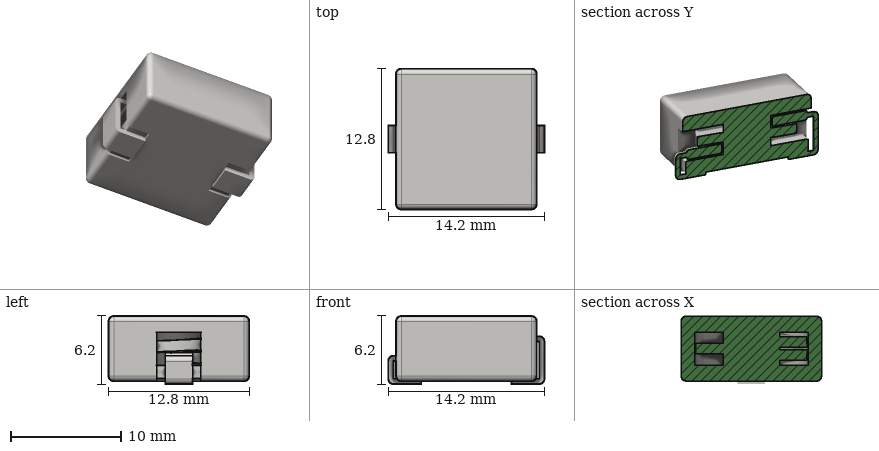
import cadquery as cq
import math

body_side = 12.8
body_bottom = 0.26
total_height = 6.2
body_edge_radius = 0.5
body_mid_z = (body_bottom + total_height) / 2
half_side = body_side / 2

chamber_radius = 5.13
chamber_height = 2.97
core_diameter = 5.2
chamber_floor = body_mid_z - chamber_height / 2

turns = 1.5
pitch = 1.17
wire_height = 1.0
winding_outer_radius = 5.08
core_overlap = 0.1
winding_inner_radius = core_diameter / 2 - core_overlap
winding_rise = turns * pitch
winding_start_z = body_mid_z - winding_rise / 2
winding_end_z = body_mid_z + winding_rise / 2

terminal_width = 2.5
wire_end_x = 6.0
terminal_span = 14.2
terminal_thickness = 0.5
wire_end_radius = (wire_height - terminal_thickness) / 2
terminal_bend_radius = 0.5
foot_length = 3.02
terminal_outer_x = terminal_span / 2
foot_end_x = terminal_outer_x - foot_length

window_width = 4.0
sill_recess = 0.3
sill_edge_radius = 0.13
half_window = window_width / 2
sill_face_x = half_side - sill_recess
foot_groove_top = terminal_thickness


def box(x_range, width, z_range):
    """Box centred on the XZ plane."""
    x_min, x_max = x_range
    z_min, z_max = z_range
    corner = (x_min, -width / 2, z_min)
    return cq.Workplane("XY").box(x_max - x_min, width, z_max - z_min, centered=False).translate(corner)


def opposite(shape):
    """Turn a +X feature to the -X side."""
    return shape.rotate((0, 0, 0), (0, 0, 1), 180)


def rounded_block():
    block = box((-half_side, half_side), body_side, (body_bottom, total_height))
    return block.edges().fillet(body_edge_radius)


def chamber_sketch_plane():
    return cq.Workplane("XY", origin=(0, 0, chamber_floor))


def chamber():
    """Round chamber with a mouth on -X and on +X whose side walls run tangent to the round wall."""
    corner_distance = math.hypot(half_side, half_window)
    corner_angle = math.atan2(half_window, half_side)
    tangent_angle = corner_angle + math.acos(chamber_radius / corner_distance)
    tangent_x = chamber_radius * math.cos(tangent_angle)
    tangent_y = chamber_radius * math.sin(tangent_angle)
    mouth = (
        chamber_sketch_plane()
        .polyline([(0, 0), (tangent_x, -tangent_y), (half_side, -half_window),
                   (half_side, half_window), (tangent_x, tangent_y)])
        .close()
        .extrude(chamber_height)
    )
    round_room = chamber_sketch_plane().circle(chamber_radius).extrude(chamber_height)
    return round_room.union(mouth).union(opposite(mouth))


def window_below_chamber():
    """Recess in front of the sill, with the groove for the terminal foot under it."""
    recess = box((foot_end_x, half_side), window_width, (body_bottom, chamber_floor))
    sill = box((0, sill_face_x), window_width, (foot_groove_top, chamber_floor))
    return recess.cut(sill.edges(">X and |Y").fillet(sill_edge_radius))


def body():
    core = chamber_sketch_plane().circle(core_diameter / 2).extrude(chamber_height)
    recess = window_below_chamber()
    return rounded_block().cut(chamber()).cut(recess).cut(opposite(recess)).union(core)


def winding():
    """Helix of flat wire rising counter-clockwise from the -X side to the +X side."""
    middle_radius = (winding_inner_radius + winding_outer_radius) / 2
    path = cq.Workplane(cq.Wire.makeHelix(pitch, winding_rise, middle_radius))
    helix = (
        cq.Workplane("XZ")
        .center(middle_radius, 0)
        .rect(winding_outer_radius - winding_inner_radius, wire_height)
        .sweep(path, isFrenet=True)
    )
    return opposite(helix).translate((0, 0, winding_start_z))


def wire_end(mid_z):
    """Straight end of the wire on +X, rounded at its outer edges."""
    z_range = (mid_z - wire_height / 2, mid_z + wire_height / 2)
    block = box((winding_inner_radius, wire_end_x), terminal_width, z_range)
    return block.edges(">X and |Y").fillet(wire_end_radius)


def terminal(mid_z):
    """C-shaped strip: arm at the wire end, upright outside the body, foot underneath."""
    arm_top = mid_z + terminal_thickness / 2
    inner_x = terminal_outer_x - terminal_thickness
    outline = box((winding_inner_radius, terminal_outer_x), terminal_width, (0, arm_top))
    outline = outline.edges(">X and |Y").fillet(terminal_bend_radius)
    hollow = box((0, inner_x), terminal_width, (terminal_thickness, arm_top - terminal_thickness))
    foot_trim = box((0, foot_end_x), terminal_width, (0, terminal_thickness))
    return outline.cut(hollow).cut(foot_trim)


def lead(mid_z):
    """Wire end with its terminal, on +X."""
    return wire_end(mid_z).union(terminal(mid_z))


start_lead = opposite(lead(winding_start_z))
end_lead = lead(winding_end_z)
result = body().union(winding()).union(start_lead).union(end_lead)